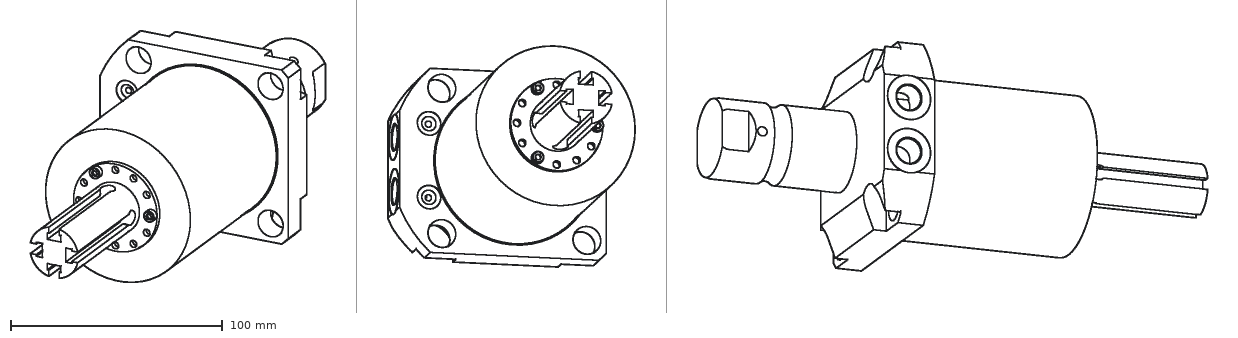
import cadquery as cq
import math


FLANGE_THICKNESS = 25.5
FLANGE_HALF = 44.5
FLANGE_LEFT = 55.5
FLANGE_ROUND_RADIUS = 60.3
CORNER_CHAMFER = 3.5
BEVEL_DEPTH = 6.2
BEVEL_INSET = 16.0

BOLT_OFFSET = 35.0
BOLT_HOLE_DIAMETER = 13.3
BOLT_SEAT_RADIUS = 9.6
BOLT_SEAT_Y = 12.9

SIDE_PORT_Z = 13.0
SIDE_PORT_Y = 12.9
SIDE_PORT_DIAMETER = 12.0
SIDE_PORT_DEPTH = 14.8
SIDE_PORT_CHAMFER = 0.5
SPOT_FACE_DIAMETER = 21.8
SPOT_FACE_DEPTH = 0.2
MANIFOLD_X = -41.3
MANIFOLD_Z = 17.8
MANIFOLD_DRILL_DIAMETER = 3.0
MANIFOLD_DRILL_DEPTH = 13.8
ORING_RECESS_RADIUS = 5.7
ORING_RECESS_DEPTH = 1.7
ORING_SECTION_RADIUS = 1.1

BARREL_RADIUS = 38.5
BARREL_LENGTH = 89.0
SHOULDER_RADIUS = 39.0
SHOULDER_LENGTH = 0.7
PLATE_RADIUS = 22.2
PLATE_THICKNESS = 2.7
PLATE_HOLE_COUNT = 12
PLATE_HOLE_CIRCLE_RADIUS = 19.3
PLATE_HOLE_DIAMETER = 3.5
SCREW_EVERY = 4
SCREW_HEAD_DIAMETER = 5.5
SCREW_HEAD_HEIGHT = 3.0
SCREW_HEAD_CHAMFER = 0.2
SCREW_SOCKET_DIAMETER = 3.0
SCREW_SOCKET_DEPTH = 1.2

SHAFT_RADIUS = 12.9
SHAFT_END_Y = -154.7
SLOT_COUNT = 4
SLOT_LENGTH = 55.0
SLOT_MOUTH_WIDTH = 5.5
SLOT_FOOT_WIDTH = 7.2
SLOT_FLOOR_RADIUS = 6.2
SLOT_LIP_RADIUS = 9.5

ROD_RADIUS = 19.3
ROD_END_Y = 92.5
ROD_CHAMFER_LENGTH = 2.5
ROD_CHAMFER_DEPTH = 0.5
ROD_FLAT_OFFSET = 16.5
ROD_FLAT_LENGTH = 13.3
GROOVE_FROM_END = 25.5
GROOVE_WIDTH = 9.0
GROOVE_DEPTH = 1.7
DIMPLE_FROM_END = 19.3
DIMPLE_DIAMETER = 4.7
DIMPLE_DEPTH = 2.2
DIMPLE_ANGLES = (60, 180, 300)

BARREL_END_Y = -BARREL_LENGTH
PLATE_FRONT_Y = BARREL_END_Y - PLATE_THICKNESS


def section_at(y):
    """Workplane across the main axis, with local x = X, local y = Z and its normal toward -Y."""
    return cq.Workplane("XZ", origin=(0, y, 0))


def cylinder_along_y(radius, y_front, y_rear, x=0, z=0):
    return section_at(y_rear).center(x, z).circle(radius).extrude(y_rear - y_front)


def corner_box(x0, x1, z0, z1, y0, y1):
    """Box between opposite corners."""
    return cq.Workplane("XY").box(x1 - x0, y1 - y0, z1 - z0, centered=False).translate((x0, y0, z0))


def turn(shape, angle):
    """Turn a shape about the main axis, from +X toward +Z."""
    return shape.rotate((0, 0, 0), (0, -1, 0), angle)


def make_flange():
    round_x = -math.sqrt(FLANGE_ROUND_RADIUS**2 - FLANGE_HALF**2)
    round_z = math.sqrt(FLANGE_ROUND_RADIUS**2 - FLANGE_LEFT**2)
    middle = (math.atan2(FLANGE_HALF, -round_x) + math.atan2(round_z, FLANGE_LEFT)) / 2
    middle_x = -FLANGE_ROUND_RADIUS * math.cos(middle)
    middle_z = FLANGE_ROUND_RADIUS * math.sin(middle)
    chamfer_start = FLANGE_HALF - CORNER_CHAMFER
    return (
        section_at(FLANGE_THICKNESS)
        .moveTo(round_x, -FLANGE_HALF)
        .lineTo(chamfer_start, -FLANGE_HALF)
        .lineTo(FLANGE_HALF, -chamfer_start)
        .lineTo(FLANGE_HALF, chamfer_start)
        .lineTo(chamfer_start, FLANGE_HALF)
        .lineTo(round_x, FLANGE_HALF)
        .threePointArc((middle_x, middle_z), (-FLANGE_LEFT, round_z))
        .lineTo(-FLANGE_LEFT, -round_z)
        .threePointArc((middle_x, -middle_z), (round_x, -FLANGE_HALF))
        .close()
        .extrude(FLANGE_THICKNESS)
    )


def bevel_cutter():
    """Wedge that bevels the rear edge of the +X side."""
    return (
        cq.Workplane("XY")
        .moveTo(FLANGE_HALF - BEVEL_INSET, FLANGE_THICKNESS)
        .lineTo(FLANGE_HALF, FLANGE_THICKNESS - BEVEL_DEPTH)
        .lineTo(FLANGE_HALF, FLANGE_THICKNESS)
        .close()
        .extrude(FLANGE_LEFT + FLANGE_HALF, both=True)
    )


def bolt_seat(x_sign):
    """Rear seat around an upper bolt hole, open to +Z and, on the +X side, to +X as well."""
    x = x_sign * BOLT_OFFSET
    left = x - BOLT_SEAT_RADIUS
    right = x + BOLT_SEAT_RADIUS
    low = BOLT_OFFSET - BOLT_SEAT_RADIUS
    high = BOLT_OFFSET + BOLT_SEAT_RADIUS
    seat = cylinder_along_y(BOLT_SEAT_RADIUS, BOLT_SEAT_Y, FLANGE_THICKNESS, x, BOLT_OFFSET)
    seat = seat.union(corner_box(left, right, BOLT_OFFSET, high, BOLT_SEAT_Y, FLANGE_THICKNESS))
    if x_sign > 0:
        seat = seat.union(corner_box(x, right, low, high, BOLT_SEAT_Y, FLANGE_THICKNESS))
    return seat


def cut_bolt_features(flange):
    for angle in (-90, 0, 90):
        flange = flange.cut(turn(bevel_cutter(), angle))
    for x_sign in (-1, 1):
        seat = bolt_seat(x_sign)
        flange = flange.cut(seat).cut(seat.mirror("XY"))
        for z_sign in (-1, 1):
            hole = cylinder_along_y(
                BOLT_HOLE_DIAMETER / 2, 0, FLANGE_THICKNESS, x_sign * BOLT_OFFSET, z_sign * BOLT_OFFSET
            )
            flange = flange.cut(hole)
    return flange


def side_port_chamfer(z):
    """Cone that breaks the edge between a side port and the floor of its spot face."""
    radius = SIDE_PORT_DIAMETER / 2
    return cq.Workplane(
        cq.Solid.makeCone(
            radius + SIDE_PORT_CHAMFER,
            radius,
            SIDE_PORT_CHAMFER,
            cq.Vector(SPOT_FACE_DEPTH - FLANGE_LEFT, SIDE_PORT_Y, z),
            cq.Vector(1, 0, 0),
        )
    )


def cut_ports(flange):
    for z_sign in (-1, 1):
        face = cq.Workplane("YZ", origin=(-FLANGE_LEFT, SIDE_PORT_Y, z_sign * SIDE_PORT_Z))
        manifold_z = z_sign * MANIFOLD_Z
        drill_radius = MANIFOLD_DRILL_DIAMETER / 2
        flange = (
            flange.cut(face.circle(SPOT_FACE_DIAMETER / 2).extrude(SPOT_FACE_DEPTH))
            .cut(face.circle(SIDE_PORT_DIAMETER / 2).extrude(SIDE_PORT_DEPTH))
            .cut(side_port_chamfer(z_sign * SIDE_PORT_Z))
            .cut(cylinder_along_y(drill_radius, 0, MANIFOLD_DRILL_DEPTH, MANIFOLD_X, manifold_z))
            .cut(cylinder_along_y(ORING_RECESS_RADIUS, 0, ORING_RECESS_DEPTH, MANIFOLD_X, manifold_z))
        )
    return flange


def make_barrel():
    shoulder = cylinder_along_y(SHOULDER_RADIUS, -SHOULDER_LENGTH, 0)
    return cylinder_along_y(BARREL_RADIUS, BARREL_END_Y, 0).union(shoulder)


def make_screw_head():
    y = PLATE_FRONT_Y - SCREW_HEAD_HEIGHT
    return (
        cylinder_along_y(SCREW_HEAD_DIAMETER / 2, y, PLATE_FRONT_Y)
        .faces("<Y")
        .chamfer(SCREW_HEAD_CHAMFER)
        .cut(section_at(y + SCREW_SOCKET_DEPTH).polygon(6, SCREW_SOCKET_DIAMETER).extrude(SCREW_SOCKET_DEPTH))
        .translate((PLATE_HOLE_CIRCLE_RADIUS, 0, 0))
    )


def make_plate():
    plate = cylinder_along_y(PLATE_RADIUS, PLATE_FRONT_Y, BARREL_END_Y)
    hole = cylinder_along_y(PLATE_HOLE_DIAMETER / 2, PLATE_FRONT_Y, BARREL_END_Y, PLATE_HOLE_CIRCLE_RADIUS)
    for index in range(PLATE_HOLE_COUNT):
        angle = index * 360 / PLATE_HOLE_COUNT
        if index % SCREW_EVERY == 0:
            plate = plate.union(turn(make_screw_head(), angle))
        else:
            plate = plate.cut(turn(hole, angle))
    return plate


def shaft_slot():
    """T-shaped slot on the +Z side, entered through a round pocket at its inner end."""
    inner_y = SHAFT_END_Y + SLOT_LENGTH
    half_foot = SLOT_FOOT_WIDTH / 2
    half_mouth = SLOT_MOUTH_WIDTH / 2
    foot = corner_box(-half_foot, half_foot, SLOT_FLOOR_RADIUS, SLOT_LIP_RADIUS, SHAFT_END_Y, inner_y)
    mouth = corner_box(-half_mouth, half_mouth, SLOT_FLOOR_RADIUS, SHAFT_RADIUS, SHAFT_END_Y, inner_y)
    pocket = (
        cq.Workplane("XY", origin=(0, inner_y, SLOT_FLOOR_RADIUS))
        .circle(half_foot)
        .extrude(SHAFT_RADIUS - SLOT_FLOOR_RADIUS)
    )
    return foot.union(mouth).union(pocket)


def make_shaft():
    shaft = cylinder_along_y(SHAFT_RADIUS, SHAFT_END_Y, PLATE_FRONT_Y)
    for index in range(SLOT_COUNT):
        shaft = shaft.cut(turn(shaft_slot(), index * 360 / SLOT_COUNT))
    return shaft


def rod_flat_cutter():
    """Cutter for the wrench flat on the +X side, with a 45 degree run-out."""
    depth = ROD_RADIUS - ROD_FLAT_OFFSET
    flat_y = ROD_END_Y - ROD_FLAT_LENGTH
    return (
        cq.Workplane("XY")
        .moveTo(ROD_FLAT_OFFSET, ROD_END_Y)
        .lineTo(ROD_FLAT_OFFSET, flat_y)
        .lineTo(ROD_RADIUS, flat_y - depth)
        .lineTo(ROD_RADIUS, ROD_END_Y)
        .close()
        .extrude(ROD_RADIUS, both=True)
    )


def rod_dimple():
    """Radial conical dimple on the +X side."""
    return cq.Workplane(
        cq.Solid.makeCone(
            DIMPLE_DIAMETER / 2,
            0,
            DIMPLE_DEPTH,
            cq.Vector(ROD_RADIUS, ROD_END_Y - DIMPLE_FROM_END, 0),
            cq.Vector(-1, 0, 0),
        )
    )


def make_rod():
    groove_front_y = ROD_END_Y - GROOVE_FROM_END - GROOVE_WIDTH
    groove_rear_y = groove_front_y + GROOVE_WIDTH
    groove_middle = (ROD_RADIUS - GROOVE_DEPTH, groove_front_y + GROOVE_WIDTH / 2)
    rod = (
        cq.Workplane("XY")
        .moveTo(0, FLANGE_THICKNESS)
        .lineTo(ROD_RADIUS, FLANGE_THICKNESS)
        .lineTo(ROD_RADIUS, groove_front_y)
        .threePointArc(groove_middle, (ROD_RADIUS, groove_rear_y))
        .lineTo(ROD_RADIUS, ROD_END_Y - ROD_CHAMFER_LENGTH)
        .lineTo(ROD_RADIUS - ROD_CHAMFER_DEPTH, ROD_END_Y)
        .lineTo(0, ROD_END_Y)
        .close()
        .revolve(360, (0, 0, 0), (0, 1, 0))
    )
    flat = rod_flat_cutter()
    rod = rod.cut(flat).cut(flat.mirror("YZ"))
    for angle in DIMPLE_ANGLES:
        rod = rod.cut(turn(rod_dimple(), angle))
    return rod


def make_housing():
    flange = cut_ports(cut_bolt_features(make_flange()))
    return flange.union(make_barrel()).union(make_plate()).union(make_shaft()).union(make_rod())


def make_oring(z):
    """Ring that rests on the floor of its recess and stands slightly proud of the flange."""
    ring_radius = ORING_RECESS_RADIUS - ORING_SECTION_RADIUS
    return (
        cq.Workplane("XY")
        .center(ring_radius, 0)
        .circle(ORING_SECTION_RADIUS)
        .revolve(360, (-ring_radius, 0, 0), (-ring_radius, 1, 0))
        .translate((MANIFOLD_X, ORING_RECESS_DEPTH - ORING_SECTION_RADIUS, z))
    )


housing = make_housing()
orings = [make_oring(z_sign * MANIFOLD_Z) for z_sign in (-1, 1)]

result = cq.Compound.makeCompound([*housing.solids().vals(), *[oring.val() for oring in orings]])